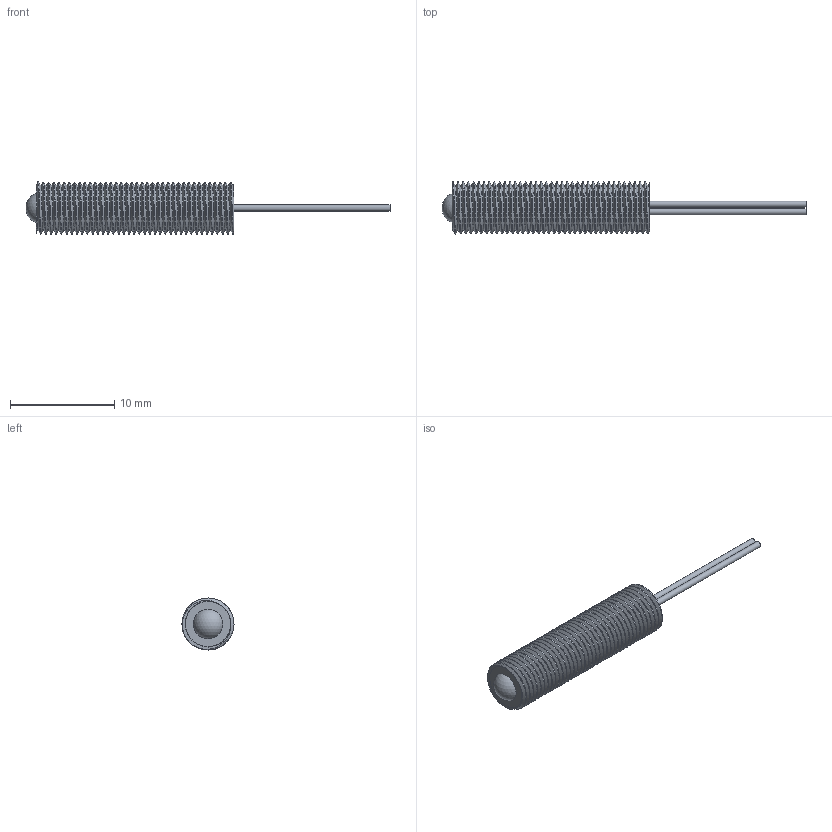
import cadquery as cq
import math

ball_radius = 1.5
ball_protrusion = 1.0
barrel_length = 19.0
lead_length = 15.0
barrel_start = ball_protrusion
barrel_end = barrel_start + barrel_length

thread_diameter = 5.0
thread_pitch = 0.5
sharp_thread_height = thread_pitch * math.sqrt(3) / 2
thread_depth = 17 / 24 * sharp_thread_height
crest_radius = thread_diameter / 2
root_radius = crest_radius - thread_depth
crest_width = thread_pitch / 8
root_overlap = 0.03
foot_radius = root_radius - root_overlap
flank_half_angle = math.radians(30)
foot_width = crest_width + 2 * (crest_radius - foot_radius) * math.tan(flank_half_angle)
first_crest_offset = 0.42

lead_diameter = 0.6
lead_spacing = 0.7
lead_embedding = 0.5


def x_cylinder(radius, start, end):
    """Solid cylinder on the X axis between two X positions."""
    return cq.Workplane("YZ", origin=(start, 0, 0)).circle(radius).extrude(end - start).val()


def thread_turn():
    """One turn of the thread ridge around X, starting on the -Z side at X = 0."""
    profile = cq.Workplane("XZ").polyline([
        (foot_radius, -foot_width / 2),
        (crest_radius, -crest_width / 2),
        (crest_radius, crest_width / 2),
        (foot_radius, foot_width / 2),
    ]).close()
    helix = cq.Workplane(cq.Wire.makeHelix(thread_pitch, thread_pitch, root_radius))
    turn_around_z = profile.sweep(helix, isFrenet=True).val()
    return turn_around_z.rotate(cq.Vector(0, 0, 0), cq.Vector(0, 1, 0), 90)


def thread_turns():
    """All turns of the ridge, with the outermost ones cut flush with the barrel faces."""
    envelope = x_cylinder(thread_diameter, barrel_start, barrel_end)
    turn = thread_turn()
    first_start = barrel_start + first_crest_offset - 2 * thread_pitch
    turn_count = math.ceil((barrel_end + foot_width / 2 - first_start) / thread_pitch)
    turns = []
    for index in range(turn_count):
        turn_start = first_start + index * thread_pitch
        ridge = turn.translate(cq.Vector(turn_start, 0, 0))
        lowest_x = turn_start - foot_width / 2
        highest_x = turn_start + thread_pitch + foot_width / 2
        if lowest_x < barrel_start or highest_x > barrel_end:
            ridge = ridge.intersect(envelope)
        turns.append(ridge)
    return turns


def ball():
    """Ball seated in the front face, with its tip on X = 0."""
    center = cq.Vector(ball_radius, 0, 0)
    return cq.Workplane().sphere(ball_radius).val().translate(center)


def leads():
    """Pair of parallel leads leaving the rear face, with a narrow gap between them."""
    lead = x_cylinder(lead_diameter / 2, barrel_end - lead_embedding, barrel_end + lead_length)
    return [lead.translate(cq.Vector(0, side * lead_spacing / 2, 0)) for side in (-1, 1)]


core = x_cylinder(root_radius, barrel_start, barrel_end)
part = core.fuse(*thread_turns(), ball(), *leads())
result = cq.Workplane(part.Solids()[0])